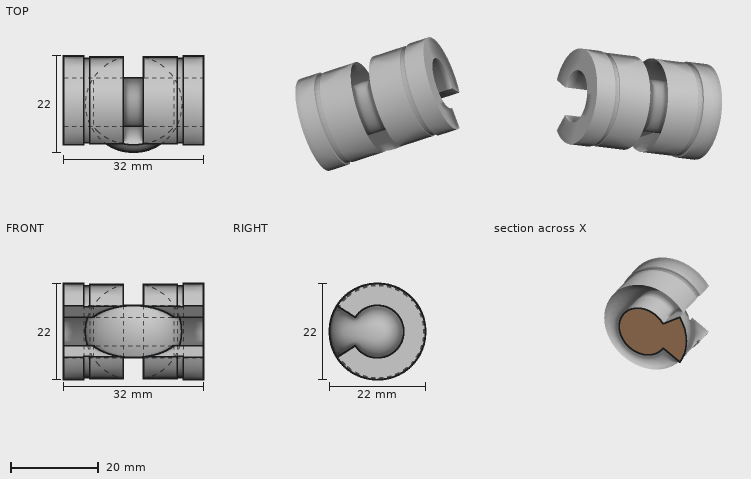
import cadquery as cq
import math

length = 32.0
outer_radius = 11.0
bore_radius = 6.0
ball_radius = outer_radius
contact_margin = 0.02
cavity_radius = ball_radius - contact_margin
opening_half_angle = 32.5

end_collar_length = 4.7
groove_width = 1.3
groove_radius = 10.5
land_radius = 10.74

half_length = length / 2
groove_outer_x = half_length - end_collar_length
groove_inner_x = groove_outer_x - groove_width


def x_cylinder(radius, x_start, x_end):
    """Solid cylinder on the X axis between two X positions."""
    return cq.Workplane("YZ", origin=(x_start, 0, 0)).circle(radius).extrude(x_end - x_start)


def sleeve_half():
    """Stepped solid for the +X half: land, ring groove and end collar."""
    land = x_cylinder(land_radius, 0, groove_inner_x)
    groove_floor = x_cylinder(groove_radius, groove_inner_x, groove_outer_x)
    collar = x_cylinder(outer_radius, groove_outer_x, half_length)
    return land.union(groove_floor).union(collar)


def opening_wedge():
    """Wedge with its tip on the X axis that opens the sleeve toward -Y."""
    reach = 2 * outer_radius
    half_height = reach * math.tan(math.radians(opening_half_angle))
    return (
        cq.Workplane("YZ")
        .polyline([(0, 0), (-reach, half_height), (-reach, -half_height)])
        .close()
        .extrude(half_length, both=True)
    )


passage = x_cylinder(bore_radius, -half_length, half_length).union(opening_wedge())

cavity = cq.Workplane("XY").sphere(cavity_radius)
right_half = sleeve_half().cut(passage).cut(cavity)
left_half = right_half.mirror("YZ")

ball_core = cq.Workplane("XY").sphere(ball_radius).intersect(passage)

result = ball_core.union(right_half).union(left_half)